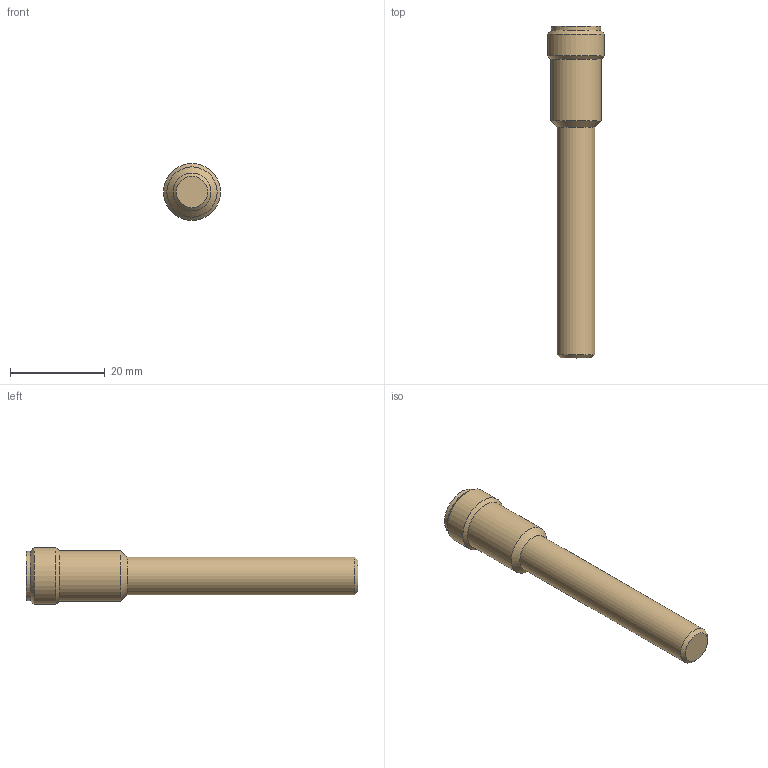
import cadquery as cq

length = 70.0

shank_diameter = 8.0
body_diameter = 10.6
collar_diameter = 12.0
spigot_diameter = 10.4

tip_chamfer = 0.7
spigot_length = 0.9
collar_length = 6.1
body_length = 13.0

shank_radius = shank_diameter / 2
body_radius = body_diameter / 2
collar_radius = collar_diameter / 2
spigot_radius = spigot_diameter / 2

collar_back_chamfer = collar_radius - spigot_radius
collar_front_chamfer = collar_radius - body_radius
shoulder_length = body_radius - shank_radius

collar_back = length - spigot_length
collar_front = collar_back - collar_length
body_front = collar_front - body_length
shoulder_front = body_front - shoulder_length


def turned_pin():
    """Revolve the half profile (radius along X, axis along Y) about the Y axis."""
    profile = (
        cq.Workplane("XY")
        .moveTo(0, 0)
        .lineTo(shank_radius - tip_chamfer, 0)
        .lineTo(shank_radius, tip_chamfer)
        .lineTo(shank_radius, shoulder_front)
        .lineTo(body_radius, body_front)
        .lineTo(body_radius, collar_front)
        .lineTo(collar_radius, collar_front + collar_front_chamfer)
        .lineTo(collar_radius, collar_back - collar_back_chamfer)
        .lineTo(spigot_radius, collar_back)
        .lineTo(spigot_radius, length)
        .lineTo(0, length)
        .close()
    )
    return profile.revolve(360, (0, 0, 0), (0, 1, 0))


result = turned_pin()